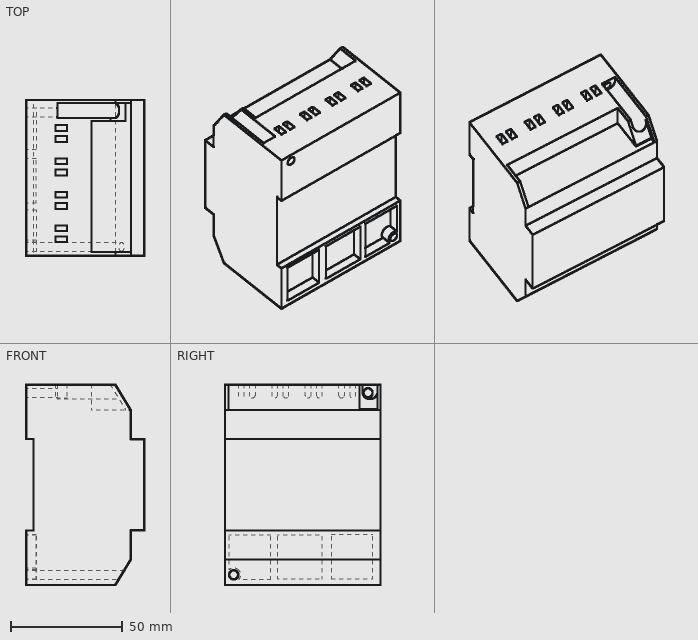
import cadquery as cq

DEPTH = 53.0
WIDTH = 70.0
HEIGHT = 90.0
HALF_WIDTH = WIDTH / 2
HALF_HEIGHT = HEIGHT / 2

BODY_DEPTH = 47.0
BAR_HALF_HEIGHT = 20.5
RAIL_RECESS = 3.2
CHAMFER_DEPTH = 7.0
CHAMFER_HEIGHT = 11.5
CHAMFER_SLOPE = CHAMFER_DEPTH / CHAMFER_HEIGHT

SIDE_WALL = 1.6
FAR_WALL = 1.4
RECESS_BACK = 29.2
RECESS_FLOOR = HALF_HEIGHT - CHAMFER_HEIGHT
BLOCK_WIDTH = 8.2
BLOCK_SETBACK = 2.5
BLOCK_TOP_FRONT = 37.8

CHANNEL_BACK = 14.0
CHANNEL_WIDTH = 6.8
CHANNEL_DEPTH = 6.5

SLOT_BACK = 13.2
SLOT_LENGTH = 5.0
SLOT_WIDTH = 2.6
SLOT_DEPTH = 6.0
PAIR_COUNT = 4
SLOTS_PER_PAIR = 2
PAIR_PITCH = 15.0
PAIR_SPACING = 5.0
FIRST_SLOT_Y = 22.4

HOLE_DIAMETER = 4.0
UPPER_HOLE_Y, UPPER_HOLE_Z = 29.3, 41.3
LOWER_HOLE_Y, LOWER_HOLE_Z = -31.0, -40.4
COLLAR_DIAMETER = 6.2

REAR_POCKETS = [
    (12.8, 31.4, -42.2, -22.2, 4.6),
    (-11.4, 8.7, -42.2, -22.5, 4.3),
    (-33.0, -14.4, -42.5, -22.5, 4.6),
]


def box(x_range, y_range, z_range):
    """Axis-aligned box between the given (min, max) limits."""
    limits = (x_range, y_range, z_range)
    sizes = [high - low for low, high in limits]
    corner = tuple(low for low, high in limits)
    return cq.Workplane("XY").box(*sizes, centered=False).translate(corner)


def extrude_profile(points, y_min, y_max):
    """Prism along Y from an outline of (X, Z) points."""
    outline = cq.Workplane("XZ", origin=(0, y_max, 0)).polyline(points).close()
    return outline.extrude(y_max - y_min)


def round_bottom_slot(x_min, x_max, y_center, width, depth):
    """Slot cutter along X, open at the top face, with a half-round bottom."""
    radius = width / 2
    axis_z = HALF_HEIGHT - depth + radius
    return (
        cq.Workplane("YZ", origin=(x_min, 0, 0))
        .moveTo(y_center - radius, HALF_HEIGHT)
        .lineTo(y_center - radius, axis_z)
        .threePointArc((y_center, axis_z - radius), (y_center + radius, axis_z))
        .lineTo(y_center + radius, HALF_HEIGHT)
        .close()
        .extrude(x_max - x_min)
    )


def cylinder_along_x(y, z, diameter, length):
    """Cylinder that starts at X = 0."""
    return cq.Workplane("YZ").center(y, z).circle(diameter / 2).extrude(length)


def housing():
    """Solid body with rail recess, front bar and chamfered front edges."""
    chamfer_x = BODY_DEPTH - CHAMFER_DEPTH
    chamfer_z = HALF_HEIGHT - CHAMFER_HEIGHT
    upper_front = [
        (chamfer_x, HALF_HEIGHT),
        (BODY_DEPTH, chamfer_z),
        (BODY_DEPTH, BAR_HALF_HEIGHT),
        (DEPTH, BAR_HALF_HEIGHT),
    ]
    lower_front = [(x, -z) for x, z in reversed(upper_front)]
    rear = [
        (0, -HALF_HEIGHT),
        (0, -BAR_HALF_HEIGHT),
        (RAIL_RECESS, -BAR_HALF_HEIGHT),
        (RAIL_RECESS, BAR_HALF_HEIGHT),
        (0, BAR_HALF_HEIGHT),
        (0, HALF_HEIGHT),
    ]
    return extrude_profile(upper_front + lower_front + rear, -HALF_WIDTH, HALF_WIDTH)


def terminal_recess():
    """Cutter for the recess, leaving the side walls and the corner block."""
    y_max = HALF_WIDTH - FAR_WALL
    block_front = BODY_DEPTH - BLOCK_SETBACK
    block_front_top = HALF_HEIGHT - (block_front - BLOCK_TOP_FRONT) / CHAMFER_SLOPE
    opening = box(
        (RECESS_BACK, DEPTH),
        (-HALF_WIDTH + SIDE_WALL, y_max),
        (RECESS_FLOOR, HALF_HEIGHT),
    )
    block_outline = [
        (RECESS_BACK, RECESS_FLOOR),
        (block_front, RECESS_FLOOR),
        (block_front, block_front_top),
        (BLOCK_TOP_FRONT, HALF_HEIGHT),
        (RECESS_BACK, HALF_HEIGHT),
    ]
    return opening.cut(extrude_profile(block_outline, y_max - BLOCK_WIDTH, y_max))


def screw_channel():
    """Cutter for the open channel through the corner block."""
    y_center = HALF_WIDTH - FAR_WALL - CHANNEL_WIDTH / 2
    return round_bottom_slot(
        CHANNEL_BACK, BODY_DEPTH - BLOCK_SETBACK, y_center, CHANNEL_WIDTH, CHANNEL_DEPTH
    )


def cut_wire_slots(body):
    """Cut the pairs of wire slots into the top face."""
    for pair in range(PAIR_COUNT):
        for member in range(SLOTS_PER_PAIR):
            y = FIRST_SLOT_Y - pair * PAIR_PITCH - member * PAIR_SPACING
            slot = round_bottom_slot(SLOT_BACK, SLOT_BACK + SLOT_LENGTH, y, SLOT_WIDTH, SLOT_DEPTH)
            body = body.cut(slot)
    return body


def cut_rear_pockets(body):
    """Cut the rear pockets, keeping a collar around the lower screw hole."""
    collar = cylinder_along_x(LOWER_HOLE_Y, LOWER_HOLE_Z, COLLAR_DIAMETER, DEPTH)
    for y_min, y_max, z_min, z_max, depth in REAR_POCKETS:
        pocket = box((0, depth), (y_min, y_max), (z_min, z_max))
        body = body.cut(pocket.cut(collar))
    return body


result = housing().cut(terminal_recess()).cut(screw_channel())
result = cut_wire_slots(result)
result = cut_rear_pockets(result)
for hole_y, hole_z in [(UPPER_HOLE_Y, UPPER_HOLE_Z), (LOWER_HOLE_Y, LOWER_HOLE_Z)]:
    result = result.cut(cylinder_along_x(hole_y, hole_z, HOLE_DIAMETER, DEPTH))